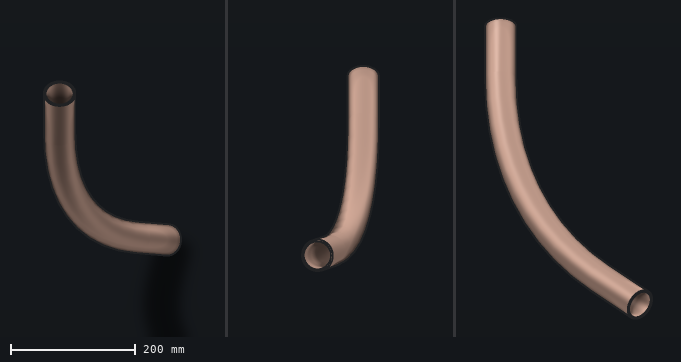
import cadquery as cq
import math

OUTER_DIAMETER = 50.8
INNER_DIAMETER = 44.7

LEG_LENGTH = 101.6
BEND_RADIUS = 609.6
BEND_ANGLE = 45.0


def bend_point(angle_degrees):
    """Centreline point (Y, Z) on the bend; the bend starts at the origin heading -Z and curves to +Y."""
    angle = math.radians(angle_degrees)
    y = BEND_RADIUS * (1 - math.cos(angle))
    z = -BEND_RADIUS * math.sin(angle)
    return (y, z)


def centreline():
    """Path in the YZ plane from the upper open end to the lower open end."""
    bend_end = bend_point(BEND_ANGLE)
    end_angle = math.radians(BEND_ANGLE)
    lower_end = (
        bend_end[0] + LEG_LENGTH * math.sin(end_angle),
        bend_end[1] - LEG_LENGTH * math.cos(end_angle),
    )
    return (
        cq.Workplane("YZ")
        .moveTo(0, LEG_LENGTH)
        .lineTo(0, 0)
        .threePointArc(bend_point(BEND_ANGLE / 2), bend_end)
        .lineTo(*lower_end)
    )


def bent_tube():
    """Ring section at the upper end swept along the centreline."""
    return (
        cq.Workplane("XY", origin=(0, 0, LEG_LENGTH))
        .circle(OUTER_DIAMETER / 2)
        .circle(INNER_DIAMETER / 2)
        .sweep(centreline())
    )


result = bent_tube()